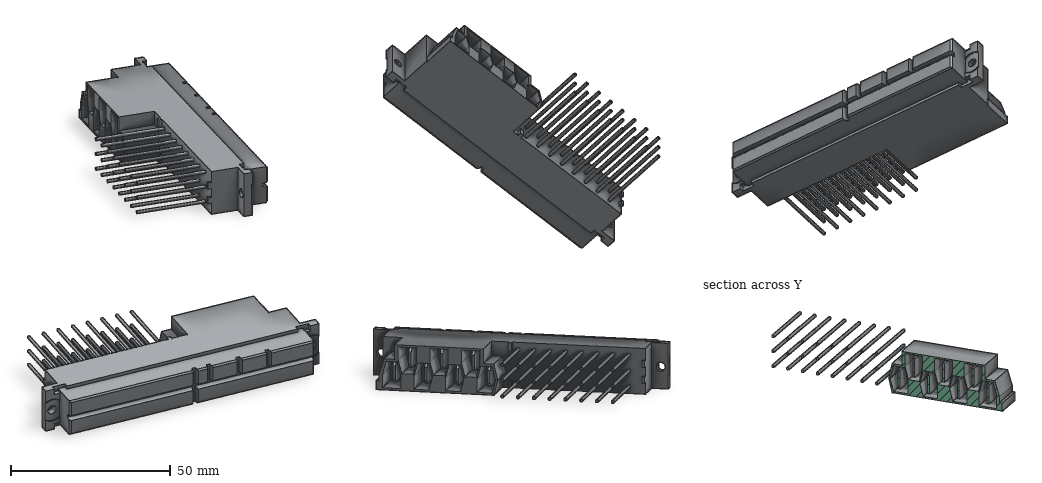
import cadquery as cq


HEIGHT = 14.7
TOP = HEIGHT / 2
LENGTH = 94.75
FLANGE_END = LENGTH / 2
FLANGE_THICKNESS = 2.87
BODY_LENGTH = 84.2
BODY_END = BODY_LENGTH / 2
SEAT_Y = -11.77
STANDOFF_HEIGHT = 1.1
STANDOFF_Y = SEAT_Y - STANDOFF_HEIGHT

BLOCK_LENGTH = 84.75
BLOCK_HEIGHT = 12.4
BLOCK_END_Y = 7.13
BLOCK_CHAMFER = 0.5
GROOVE_DEPTH = 1.7
GROOVE_MOUTH = 1.85
GROOVE_FLOOR = 1.0

HOLE_X = 45.0
HOLE_Z = -0.3
HOLE_DIAMETER = 2.87
RECESS_DIAMETER = 7.8
RECESS_DEPTH = 0.35
NOTCH_CENTRE = 42.17
NOTCH_WIDTH = 4.33
NOTCH_DEPTH = 1.46
NOTCH_FLOOR_Z = 5.4

GRID = 5.08
PIN_DIAMETER = 1.0
PIN_COLUMNS = 8
PIN_ROWS = 3
FIRST_PIN_X = GRID / 4
PIN_END_Y = -34.81

POWER_END_Y = -23.68
POWER_PITCH = 2 * GRID
LOWER_COUNT = 4
UPPER_COUNT = LOWER_COUNT - 1
POWER_CENTRE = -21.59
POCKET_WIDE = 2.95
POCKET_NARROW = 1.8
POCKET_OUTER_Z = 6.67
POCKET_INNER_Z = 1.85
POCKET_KINK_Z = 2.45
BLADE_THICKNESS = 0.8
BLADE_HEIGHT = 6.4
BLADE_Z = 2.4
BLADE_TIP_TAPER = 1.1
BLADE_END_Y = -20.0

SHROUD_ROOF_HALF = 14.27
SHROUD_SHOULDER_Z = 2.67
SHROUD_SHOULDER_HALF = 17.65
SHROUD_LEFT_HALF = 19.3
SHROUD_RIGHT_HALF = 18.85
SHROUD_FOOT_X = -41.8
SHROUD_FOOT_Z = -4.46

MID_RIB_X = -FIRST_PIN_X
MID_RIB_WIDTH = 1.25
MID_RIB_HEIGHT = 2.7
END_RIB_WIDTH = 0.9
END_RIB_HEIGHT = 2.1
END_RIB_Z = GRID / 2

OVERLAP = 1.0


def box(x_from, x_to, y_from, y_to, z_from, z_to):
    """Box given by its limits along each axis."""
    size = (x_to - x_from, y_to - y_from, z_to - z_from)
    return cq.Workplane("XY").box(*size, centered=False).translate((x_from, y_from, z_from))


def prism_along_y(points, y_from, y_to):
    """Prism with an XZ outline between two Y levels."""
    return cq.Workplane("XZ", origin=(0, y_to, 0)).polyline(points).close().extrude(y_to - y_from)


def cylinder_along_y(x, z, diameter, y_from, y_to):
    """Round bar along Y between two Y levels."""
    return cq.Workplane("XZ", origin=(x, y_to, z)).circle(diameter / 2).extrude(y_to - y_from)


def row_positions(count, pitch, centre):
    """Evenly spaced positions about a centre."""
    return [centre + (i - (count - 1) / 2) * pitch for i in range(count)]


LOWER_X = row_positions(LOWER_COUNT, POWER_PITCH, POWER_CENTRE)
UPPER_X = row_positions(UPPER_COUNT, POWER_PITCH, POWER_CENTRE)


def make_body():
    """Flanged body with a notch above and below each end of the mating block."""
    flange = box(-FLANGE_END, FLANGE_END, -FLANGE_THICKNESS, 0, -TOP, TOP)
    main = box(-BODY_END, BODY_END, SEAT_Y, 0, -TOP, TOP)
    body = flange.union(main)
    for side in (-1, 1):
        middle = side * NOTCH_CENTRE
        half = NOTCH_WIDTH / 2
        for z_from, z_to in ((-TOP, -NOTCH_FLOOR_Z), (NOTCH_FLOOR_Z, TOP)):
            notch = box(middle - half, middle + half, -NOTCH_DEPTH, OVERLAP, z_from, z_to)
            body = body.cut(notch)
        body = body.cut(cylinder_along_y(side * HOLE_X, HOLE_Z, RECESS_DIAMETER, -RECESS_DEPTH, OVERLAP))
    return body


def groove_profile(plane, offset):
    """Tapered groove section open at the mating face, centred on an offset across it."""
    mouth = GROOVE_MOUTH / 2
    floor = GROOVE_FLOOR / 2
    bottom_y = BLOCK_END_Y - GROOVE_DEPTH
    corners = [
        (offset - mouth, BLOCK_END_Y),
        (offset + mouth, BLOCK_END_Y),
        (offset + floor, bottom_y),
        (offset - floor, bottom_y),
    ]
    if plane == "YZ":
        corners = [(y, across) for across, y in corners]
    return cq.Workplane(plane).polyline(corners).close()


def make_mating_block():
    """Chamfered mating block with one long groove and four cross grooves."""
    half = BLOCK_LENGTH / 2
    half_height = BLOCK_HEIGHT / 2
    block = box(-half, half, -NOTCH_DEPTH - OVERLAP, BLOCK_END_Y, -half_height, half_height)
    block = block.faces(">Y").chamfer(BLOCK_CHAMFER)
    block = block.cut(groove_profile("YZ", 0).extrude(half, both=True))
    block = block.cut(groove_profile("XY", MID_RIB_X).extrude(half_height, both=True))
    for x in LOWER_X[1:]:
        block = block.cut(groove_profile("XY", x).extrude(half_height))
    return block


def make_shroud():
    """Stepped shroud around the power contacts, with its raised seat at the left end."""
    outline = [
        (SHROUD_FOOT_X, -TOP),
        (SHROUD_FOOT_X, SHROUD_FOOT_Z),
        (POWER_CENTRE - SHROUD_LEFT_HALF, SHROUD_FOOT_Z),
        (POWER_CENTRE - SHROUD_LEFT_HALF, -POCKET_KINK_Z),
        (POWER_CENTRE - SHROUD_SHOULDER_HALF, SHROUD_SHOULDER_Z),
        (POWER_CENTRE - SHROUD_ROOF_HALF, SHROUD_SHOULDER_Z),
        (POWER_CENTRE - SHROUD_ROOF_HALF, TOP),
        (POWER_CENTRE + SHROUD_ROOF_HALF, TOP),
        (POWER_CENTRE + SHROUD_ROOF_HALF, SHROUD_SHOULDER_Z),
        (POWER_CENTRE + SHROUD_SHOULDER_HALF, SHROUD_SHOULDER_Z),
        (POWER_CENTRE + SHROUD_RIGHT_HALF, -POCKET_KINK_Z),
        (POWER_CENTRE + SHROUD_SHOULDER_HALF, -TOP),
    ]
    shroud = prism_along_y(outline, POWER_END_Y, SEAT_Y + OVERLAP)
    seat = box(-BODY_END, POWER_CENTRE, STANDOFF_Y, SEAT_Y + OVERLAP, -TOP, TOP)
    return shroud.union(seat)


def make_pocket(x, row, right_foot):
    """Contact pocket; row is -1 for the lower row and 1 for the upper row."""
    outline = [
        (x - POCKET_WIDE, row * POCKET_OUTER_Z),
        (x - POCKET_WIDE, row * POCKET_KINK_Z),
        (x - POCKET_NARROW, -row * POCKET_INNER_Z),
        (x + POCKET_NARROW, -row * POCKET_INNER_Z),
        (x + POCKET_WIDE, row * POCKET_KINK_Z),
        (x + right_foot, row * POCKET_OUTER_Z),
    ]
    return prism_along_y(outline, POWER_END_Y - OVERLAP, STANDOFF_Y)


def make_blade(x, row):
    """Upright contact blade with a tapered tip."""
    middle = row * BLADE_Z
    half = BLADE_HEIGHT / 2
    tip = half - BLADE_TIP_TAPER
    root_y = STANDOFF_Y + OVERLAP
    shoulder_y = BLADE_END_Y + BLADE_TIP_TAPER
    outline = [
        (root_y, middle - half),
        (shoulder_y, middle - half),
        (BLADE_END_Y, middle - tip),
        (BLADE_END_Y, middle + tip),
        (shoulder_y, middle + half),
        (root_y, middle + half),
    ]
    section = cq.Workplane("YZ", origin=(x, 0, 0)).polyline(outline).close()
    return section.extrude(BLADE_THICKNESS / 2, both=True)


def add_power_contacts(part):
    """Open the pockets and place a blade in each one."""
    lower_feet = [POCKET_WIDE] + [POCKET_NARROW] * (LOWER_COUNT - 1)
    contacts = [(x, -1, foot) for x, foot in zip(LOWER_X, lower_feet)]
    contacts += [(x, 1, POCKET_WIDE) for x in UPPER_X]
    for x, row, right_foot in contacts:
        part = part.cut(make_pocket(x, row, right_foot))
        part = part.union(make_blade(x, row))
    return part


def add_signal_pins(part):
    """Grid of round pins on the seat face."""
    for column in range(PIN_COLUMNS):
        for z in row_positions(PIN_ROWS, GRID, 0):
            x = FIRST_PIN_X + column * GRID
            part = part.union(cylinder_along_y(x, z, PIN_DIAMETER, PIN_END_Y, SEAT_Y + OVERLAP))
    return part


def add_standoff_ribs(part):
    """Ribs that hold the seat face off the circuit board."""
    rib_left = MID_RIB_X - MID_RIB_WIDTH / 2
    rib_right = MID_RIB_X + MID_RIB_WIDTH / 2
    ribs = [
        (rib_left, rib_right, TOP - MID_RIB_HEIGHT, TOP),
        (rib_left, rib_right, -TOP, MID_RIB_HEIGHT - TOP),
    ]
    for z in (-END_RIB_Z, END_RIB_Z):
        ribs.append((BODY_END - END_RIB_WIDTH, BODY_END, z - END_RIB_HEIGHT / 2, z + END_RIB_HEIGHT / 2))
    for x_from, x_to, z_from, z_to in ribs:
        part = part.union(box(x_from, x_to, STANDOFF_Y, SEAT_Y + OVERLAP, z_from, z_to))
    return part


def cut_mounting_holes(part):
    """Through holes in both flanges."""
    for x in (-HOLE_X, HOLE_X):
        part = part.cut(cylinder_along_y(x, HOLE_Z, HOLE_DIAMETER, -FLANGE_THICKNESS - OVERLAP, OVERLAP))
    return part


part = make_body().union(make_mating_block()).union(make_shroud())
part = add_power_contacts(part)
part = add_signal_pins(part)
part = add_standoff_ribs(part)
result = cut_mounting_holes(part)